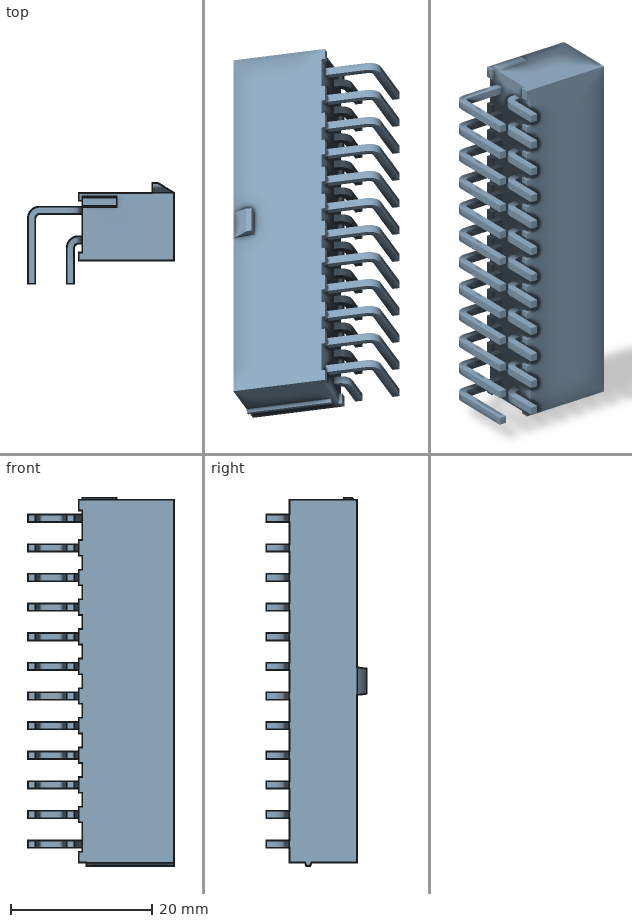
import cadquery as cq


row_count = 2
pins_per_row = 12
pitch = 4.2
pin_size = 1.07
bend_outer_radius = 1.67
bend_inner_radius = bend_outer_radius - pin_size
pin_embed = 1.0
row_setback = 5.5
outer_pin_drop = 1.95
pin_tip_overhang = 3.3

housing_back_x = 7.68
housing_front_x = 20.73
housing_width = 9.6
housing_height = 51.45
half_height = housing_height / 2
wall_top_y = housing_width

foot_depth = 0.5
foot_width = 1.15
foot_height = 2.25
end_foot_height = 1.55

latch_rise = 1.4
latch_length = 3.13
latch_flat = 0.83
latch_back_width = 3.45
latch_front_width = 3.95

rail_length = 4.95
rail_rise = 0.3
rail_base_width = 1.5
rail_top_width = 1.1
rail_center_y = wall_top_y - 1.27

rib_length = 12.45
rib_rise = 0.5
rib_base_width = 0.95
rib_tip_width = 0.55
rib_center_y = 2.68


def box(x0, x1, y0, y1, z0, z1):
    """Axis-aligned block between two opposite corners."""
    return cq.Workplane("XY").box(x1 - x0, y1 - y0, z1 - z0, centered=False).translate((x0, y0, z0))


def housing():
    return box(housing_back_x, housing_front_x, 0, wall_top_y, -half_height, half_height)


def pin_levels():
    """Z centres of the pins, spread evenly about Z = 0."""
    first = -pitch * (pins_per_row - 1) / 2
    return [first + i * pitch for i in range(pins_per_row)]


def foot_pair(z0, z1):
    """One foot along each long edge of the back face."""
    x0 = housing_back_x - foot_depth
    lower = box(x0, housing_back_x, 0, foot_width, z0, z1)
    upper = box(x0, housing_back_x, wall_top_y - foot_width, wall_top_y, z0, z1)
    return lower.union(upper)


def feet():
    """Short feet at both ends and a foot level with every pin in between."""
    pairs = foot_pair(-half_height, -half_height + end_foot_height)
    pairs = pairs.union(foot_pair(half_height - end_foot_height, half_height))
    for z in pin_levels()[1:-1]:
        pairs = pairs.union(foot_pair(z - foot_height / 2, z + foot_height / 2))
    return pairs


def bent_pin(leg_x, top_y, z):
    """Square pin running along X out of the housing, then bent down to -Y."""
    end_x = housing_back_x + pin_embed
    z0 = z - pin_size / 2
    z1 = z + pin_size / 2
    blank = box(leg_x, end_x, -pin_tip_overhang, top_y, z0, z1)
    inner_corner = box(leg_x + pin_size, end_x, -pin_tip_overhang, top_y - pin_size, z0, z1)
    rounded_blank = blank.edges("<X and >Y").fillet(bend_outer_radius)
    rounded_corner = inner_corner.edges("<X and >Y").fillet(bend_inner_radius)
    return rounded_blank.cut(rounded_corner)


def latch():
    """Ramp rising from the front edge to a square catch, slightly wider at the front."""
    back_x = housing_front_x - latch_length
    ramp = (
        cq.Workplane("XY")
        .moveTo(back_x, wall_top_y)
        .lineTo(back_x, wall_top_y + latch_rise)
        .lineTo(back_x + latch_flat, wall_top_y + latch_rise)
        .lineTo(housing_front_x, wall_top_y)
        .close()
        .extrude(latch_front_width / 2, both=True)
    )
    flare = (
        cq.Workplane("XZ", origin=(0, wall_top_y, 0))
        .moveTo(back_x, -latch_back_width / 2)
        .lineTo(housing_front_x, -latch_front_width / 2)
        .lineTo(housing_front_x, latch_front_width / 2)
        .lineTo(back_x, latch_back_width / 2)
        .close()
        .extrude(-latch_rise)
    )
    return ramp.intersect(flare)


def end_ridge(x0, length, center_y, base_z, tip_z, base_width, tip_width):
    """Ridge along X with a trapezoid section standing on one end of the housing."""
    return (
        cq.Workplane("YZ", origin=(x0, 0, 0))
        .moveTo(center_y - base_width / 2, base_z)
        .lineTo(center_y + base_width / 2, base_z)
        .lineTo(center_y + tip_width / 2, tip_z)
        .lineTo(center_y - tip_width / 2, tip_z)
        .close()
        .extrude(length)
    )


def guide_rail():
    return end_ridge(housing_back_x, rail_length, rail_center_y,
                     half_height, half_height + rail_rise, rail_base_width, rail_top_width)


def guide_rib():
    return end_ridge(housing_front_x - rib_length, rib_length, rib_center_y,
                     -half_height, -half_height - rib_rise, rib_base_width, rib_tip_width)


result = housing().union(feet()).union(latch()).union(guide_rail()).union(guide_rib())
for row in range(row_count):
    row_leg_x = row * row_setback
    row_top_y = wall_top_y - outer_pin_drop - row * pitch
    for level in pin_levels():
        result = result.union(bent_pin(row_leg_x, row_top_y, level))